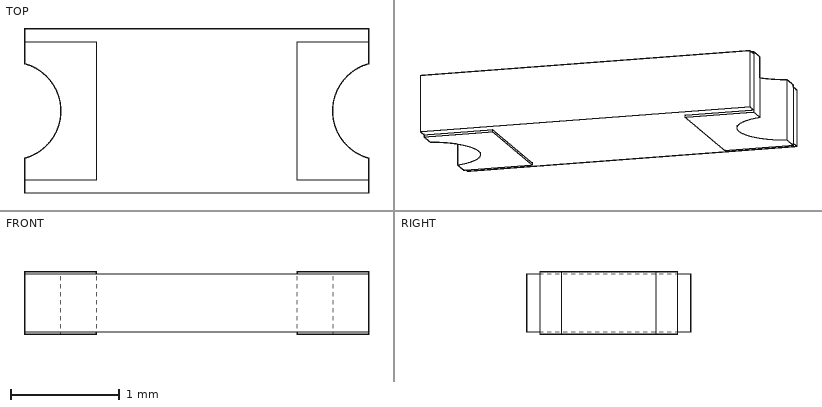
import cadquery as cq


body_length = 3.18
body_width = 1.52

terminal_length = 0.66
terminal_width = 1.272
terminal_height = 0.58
terminal_rise = 0.02

body_height = terminal_height - 2 * terminal_rise

notch_radius = 0.45
notch_depth = 0.335

end_sides = (-1, 1)


def terminal_block(side):
    """Rectangular block filling the terminal's place at one end."""
    center_x = side * (body_length - terminal_length) / 2
    return (
        cq.Workplane("XY")
        .box(terminal_length, terminal_width, terminal_height)
        .translate((center_x, 0, 0))
    )


def end_notch(side):
    """Upright cylinder whose axis lies just beyond the end face."""
    axis_x = side * (body_length / 2 - notch_depth + notch_radius)
    return (
        cq.Workplane("XY")
        .cylinder(terminal_height, notch_radius)
        .translate((axis_x, 0, 0))
    )


def make_body():
    """Flat plate with an open pocket at each end for a terminal."""
    body = cq.Workplane("XY").box(body_length, body_width, body_height)
    for side in end_sides:
        body = body.cut(terminal_block(side))
    return body


def make_terminal(side):
    """Terminal block with its round end notch."""
    return terminal_block(side).cut(end_notch(side))


body = make_body()
terminals = [make_terminal(side) for side in end_sides]

result = cq.Compound.makeCompound(
    [body.solids().val(), *[terminal.solids().val() for terminal in terminals]]
)